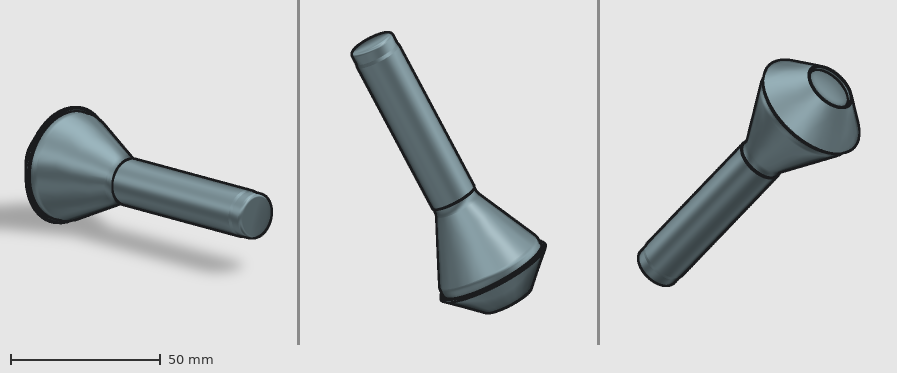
import cadquery as cq
import math

TOTAL_LENGTH = 100.0

NOSE_RADIUS = 8.9
RIM_RADIUS = 19.8
RIM_BACK_RADIUS = 19.4
CONE_LENGTH = 10.8
CAP_LENGTH = 11.5

RECESS_MOUTH_RADIUS = 8.4
RECESS_FLOOR_RADIUS = 8.1
RECESS_DEPTH = 1.2

COLLAR_RADIUS = 37.0 / 2
COLLAR_END = 13.6
COLLAR_ROUND = 3.0
SHOULDER_ANGLE = math.radians(24.8)
NECK_RADIUS = 15.5 / 2
NECK_ROUND = 5.0
NECK_END = 39.6
SHANK_RADIUS = 16.0 / 2
SHANK_STEP = SHANK_RADIUS - NECK_RADIUS
SHANK_START = NECK_END + SHANK_STEP
SHANK_END = 94.6
TIP_START = 95.8
TIP_ROUND = 1.2


def make_cap():
    """Conical cap with a shallow tapered recess in its nose."""
    profile = (
        cq.Workplane("XY")
        .moveTo(RECESS_DEPTH, 0)
        .lineTo(RECESS_DEPTH, RECESS_FLOOR_RADIUS)
        .lineTo(0, RECESS_MOUTH_RADIUS)
        .lineTo(0, NOSE_RADIUS)
        .lineTo(CONE_LENGTH, RIM_RADIUS)
        .lineTo(CAP_LENGTH, RIM_BACK_RADIUS)
        .lineTo(CAP_LENGTH, 0)
        .close()
    )
    return profile.revolve(360, (0, 0, 0), (1, 0, 0))


def make_stem():
    """Stem whose shoulder blends tangentially into the collar and the neck."""
    sine = math.sin(SHOULDER_ANGLE)
    cosine = math.cos(SHOULDER_ANGLE)
    half_sine = math.sin(SHOULDER_ANGLE / 2)
    half_cosine = math.cos(SHOULDER_ANGLE / 2)

    taper_start_x = COLLAR_END + COLLAR_ROUND * sine
    taper_start_radius = COLLAR_RADIUS - COLLAR_ROUND * (1 - cosine)
    taper_end_radius = NECK_RADIUS + NECK_ROUND * (1 - cosine)
    taper_length = (taper_start_radius - taper_end_radius) / math.tan(SHOULDER_ANGLE)
    taper_end_x = taper_start_x + taper_length
    neck_start = taper_end_x + NECK_ROUND * sine

    collar_mid = (
        COLLAR_END + COLLAR_ROUND * half_sine,
        COLLAR_RADIUS - COLLAR_ROUND * (1 - half_cosine),
    )
    neck_mid = (
        neck_start - NECK_ROUND * half_sine,
        NECK_RADIUS + NECK_ROUND * (1 - half_cosine),
    )

    profile = (
        cq.Workplane("XY")
        .moveTo(CAP_LENGTH, 0)
        .lineTo(CAP_LENGTH, COLLAR_RADIUS)
        .lineTo(COLLAR_END, COLLAR_RADIUS)
        .threePointArc(collar_mid, (taper_start_x, taper_start_radius))
        .lineTo(taper_end_x, taper_end_radius)
        .threePointArc(neck_mid, (neck_start, NECK_RADIUS))
        .lineTo(NECK_END, NECK_RADIUS)
        .lineTo(SHANK_START, SHANK_RADIUS)
        .lineTo(SHANK_END, SHANK_RADIUS)
        .lineTo(TIP_START, NECK_RADIUS)
        .lineTo(TOTAL_LENGTH, NECK_RADIUS)
        .lineTo(TOTAL_LENGTH, 0)
        .close()
    )
    stem = profile.revolve(360, (0, 0, 0), (1, 0, 0))
    return stem.faces(">X").edges().fillet(TIP_ROUND)


cap = make_cap()
stem = make_stem()
result = cq.Compound.makeCompound([cap.val(), stem.val()])